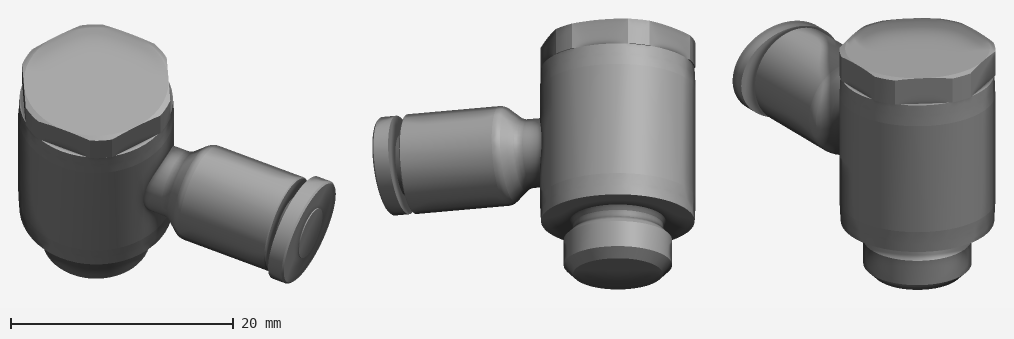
import cadquery as cq
import math

total_height = 22.0
body_bottom = 5.05
body_top = 19.5
body_end_length = 2.0

body_radius = 7.0
body_end_radius = 6.9
hex_across_flats = 13.0
head_chamfer_angle = 15.0

stud_radius = 4.87
stud_chamfer = 0.85
stud_shoulder_height = 3.25
undercut_radius = 4.1
undercut_bottom = 4.0
undercut_top = 4.6
undercut_root_radius = 4.3

arm_height = 12.25
neck_radius = 3.1
neck_end = 8.07
barrel_radius = 4.5
barrel_end = 19.15
barrel_chamfer = 0.1
blend_radius = 1.1
cone_angle = 40.0

sleeve_radius = 2.75
ring_start = 19.9
ring_end = 21.4
ring_width = 10.8
ring_depth = 8.6
ring_chamfer = 0.15
lip_radius = 2.37
lip_end = 21.5


def make_body_and_stud():
    """Stud, undercut and body turned about Z."""
    profile = [
        (0, 0),
        (stud_radius - stud_chamfer, 0),
        (stud_radius, stud_chamfer),
        (stud_radius, stud_shoulder_height),
        (undercut_radius, undercut_bottom),
        (undercut_radius, undercut_top),
        (undercut_root_radius, body_bottom),
        (body_end_radius, body_bottom),
        (body_radius, body_bottom + body_end_length),
        (body_radius, body_top - body_end_length),
        (body_end_radius, body_top),
        (0, body_top),
    ]
    return cq.Workplane("XZ").polyline(profile).close().revolve(360, (0, 0, 0), (0, 1, 0))


def make_head():
    """Hexagonal head with flats facing +Y and -Y, its corners turned down to the body radius."""
    head_height = total_height - body_top
    across_corners = hex_across_flats / math.cos(math.pi / 6)
    head_base = cq.Workplane("XY").workplane(offset=body_top)
    hexagon = head_base.polygon(6, across_corners).extrude(head_height)
    top_radius = hex_across_flats / 2
    chamfer_drop = (body_radius - top_radius) * math.tan(math.radians(head_chamfer_angle))
    turned_profile = [
        (0, body_top),
        (body_radius, body_top),
        (body_radius, total_height - chamfer_drop),
        (top_radius, total_height),
        (0, total_height),
    ]
    turned = cq.Workplane("XZ").polyline(turned_profile).close().revolve(360, (0, 0, 0), (0, 1, 0))
    return hexagon.intersect(turned)


def make_arm():
    """Neck, rounded cone, barrel and sleeve turned about the arm axis."""
    angle = math.radians(cone_angle)
    half_angle = angle / 2
    run = blend_radius * math.sin(angle)
    rise = blend_radius * (1 - math.cos(angle))
    half_run = blend_radius * math.sin(half_angle)
    half_rise = blend_radius * (1 - math.cos(half_angle))
    cone_rise = barrel_radius - neck_radius - 2 * rise
    barrel_start = neck_end + 2 * run + cone_rise / math.tan(angle)
    arm = (
        cq.Workplane("XZ", origin=(0, 0, arm_height))
        .moveTo(0, 0)
        .lineTo(0, neck_radius)
        .lineTo(neck_end, neck_radius)
        .threePointArc((neck_end + half_run, neck_radius + half_rise), (neck_end + run, neck_radius + rise))
        .lineTo(barrel_start - run, barrel_radius - rise)
        .threePointArc((barrel_start - half_run, barrel_radius - half_rise), (barrel_start, barrel_radius))
        .lineTo(barrel_end - barrel_chamfer, barrel_radius)
        .lineTo(barrel_end, barrel_radius - barrel_chamfer)
        .lineTo(barrel_end, sleeve_radius)
        .lineTo(ring_start, sleeve_radius)
        .lineTo(ring_start, 0)
        .close()
    )
    return arm.revolve(360, (0, 0, 0), (1, 0, 0))


def make_release_ring():
    """Oval ring with a chamfered outer edge and a low round lip on its end."""
    ring_base = cq.Workplane("YZ", origin=(ring_start, 0, arm_height))
    ring = (
        ring_base
        .ellipse(ring_width / 2, ring_depth / 2)
        .extrude(ring_end - ring_start)
        .faces(">X")
        .chamfer(ring_chamfer)
    )
    lip = ring_base.circle(lip_radius).extrude(lip_end - ring_start)
    return ring.union(lip)


result = make_body_and_stud().union(make_head()).union(make_arm()).union(make_release_ring())